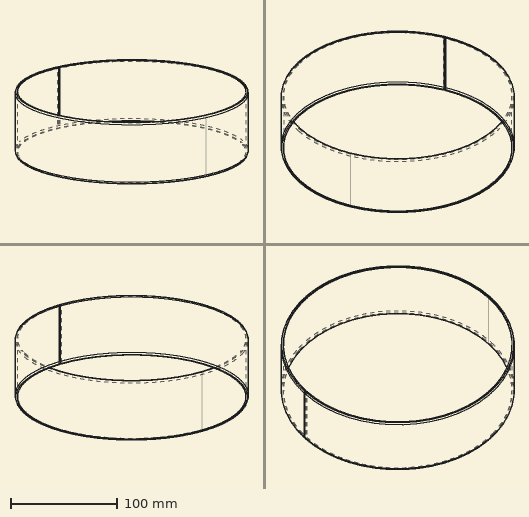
import cadquery as cq

outer_diameter = 220.0
height = 60.0
wall = 2.5
gap_width = 1.5
outer_bevel_height = 2.0
outer_bevel_depth = 0.7
inner_bevel_height = 0.7
inner_bevel_depth = 0.3

outer_radius = outer_diameter / 2
inner_radius = outer_radius - wall
rim_outer_radius = outer_radius - outer_bevel_depth
rim_inner_radius = inner_radius + inner_bevel_depth
half_height = height / 2
outer_shoulder = half_height - outer_bevel_height
inner_shoulder = half_height - inner_bevel_height


def make_band():
    """Thin ring about Z, centred on the origin, with both rims bevelled inside and out."""
    section = [
        (rim_inner_radius, -half_height),
        (rim_outer_radius, -half_height),
        (outer_radius, -outer_shoulder),
        (outer_radius, outer_shoulder),
        (rim_outer_radius, half_height),
        (rim_inner_radius, half_height),
        (inner_radius, inner_shoulder),
        (inner_radius, -inner_shoulder),
    ]
    return cq.Workplane("XZ").polyline(section).close().revolve(360, (0, 0, 0), (0, 1, 0))


def make_split():
    """Block that opens the band on its -X side, with one face on the XZ plane."""
    split_depth = 3 * wall
    return (
        cq.Workplane("XY")
        .box(split_depth, gap_width, height, centered=(True, False, True))
        .translate((-outer_radius, 0, 0))
    )


result = make_band().cut(make_split())